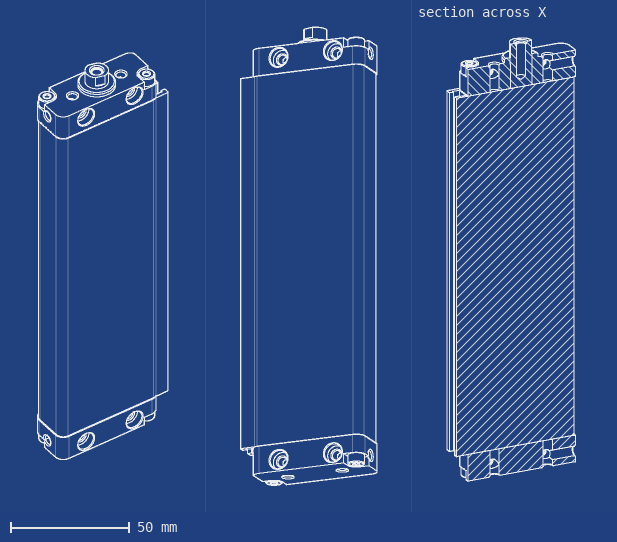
import cadquery as cq
import math

total_height = 195.0
cap_width = 20.0
cap_height = 12.0
rod_projection = 8.0
corner_radius = 4.0
cap_front = 25.5
cap_back = 25.0
barrel_inset = 0.49

cap_half_width = cap_width / 2
corner_x = cap_half_width - corner_radius
corner_y = cap_front - corner_radius
cap_top = total_height - rod_projection
barrel_bottom = cap_height
barrel_top = cap_top - cap_height
barrel_length = barrel_top - barrel_bottom

barrel_half_width = cap_half_width - barrel_inset
barrel_front = cap_front - barrel_inset
barrel_radius = corner_radius - barrel_inset
slot_floor = 25.4
rail_tip = 30.5
shoulder_start = 22.6
shoulder_end = 23.8
shoulder_inset = 0.1
rail_taper = 0.14
tip_bevel_width = 0.2
tip_bevel_height = 0.5
lip_height = 2.0
outer_lip_x = 6.6
outer_neck_x = 7.5
middle_lip_half = 1.5
middle_neck_half = 1.0

port_pitch = 25.0
port_y = port_pitch / 2
port_level = 5.0
through_diameter = 4.0
counterbore_diameter = 8.0
counterbore_depth = 3.7
counterbore_bevel = 0.4
seat_diameter = 5.0
port_diameter = 5.3

drill_tip_angle = 118.0

recess_diameter = 8.0
recess_depth = 4.0
screw_head_diameter = 7.0
screw_head_bevel = 0.4
socket_diameter = 2.5
socket_bevel = 0.4
socket_depth = 2.0
screw_corners = [(-1, -1), (1, 1)]

collar_diameter = 16.0
collar_height = 2.0
collar_chamfer = 0.5

rod_diameter = 10.0
rod_bore_diameter = 4.0
rod_bore_depth = 15.6
rod_mouth_diameter = 5.0
rod_mouth_depth = 1.2
rod_mouth_bevel = 0.5
flat_spacing = 9.0
flat_height = 4.5
flat_angle = -15.0


def make_barrel():
    """Extruded barrel profile with three rails that form two T-slots on the +Y side."""
    lip_y = rail_tip - lip_height
    shoulder_x = barrel_half_width - shoulder_inset
    rail_edge_x = shoulder_x - rail_taper
    outline = (
        cq.Workplane("XY", origin=(0, 0, barrel_bottom))
        .moveTo(0, -barrel_front)
        .lineTo(barrel_half_width, -barrel_front)
        .lineTo(barrel_half_width, shoulder_start)
        .lineTo(shoulder_x, shoulder_end)
        .lineTo(rail_edge_x, rail_tip - tip_bevel_height)
        .lineTo(rail_edge_x - tip_bevel_width, rail_tip)
        .lineTo(outer_lip_x, rail_tip)
        .lineTo(outer_lip_x, lip_y)
        .lineTo(outer_neck_x, lip_y)
        .lineTo(outer_neck_x, slot_floor)
        .lineTo(middle_neck_half, slot_floor)
        .lineTo(middle_neck_half, lip_y)
        .lineTo(middle_lip_half, lip_y)
        .lineTo(middle_lip_half, rail_tip)
        .lineTo(0, rail_tip)
        .mirrorY()
    )
    barrel = outline.extrude(barrel_length)
    return barrel.edges("|Z and <Y").fillet(barrel_radius)


def cylinder(diameter, height, x, y, z):
    """Upright cylinder whose lower face is centred at (x, y, z)."""
    return cq.Workplane("XY", origin=(x, y, z)).circle(diameter / 2).extrude(height)


def cap_block():
    """Block with four equal rounded corners, cut off flat on the +Y side."""
    block = cq.Workplane("XY").box(cap_width, 2 * cap_front, cap_height, centered=(True, True, False))
    block = block.edges("|Z").fillet(corner_radius)
    length = cap_front + cap_back
    kept = cq.Workplane("XY", origin=(0, cap_back - length / 2, 0)).rect(cap_width, length).extrude(cap_height)
    return block.intersect(kept)


def countersink(mouth_diameter, bottom_diameter):
    """45-degree cone with its mouth on Z = 0, pointing down."""
    depth = (mouth_diameter - bottom_diameter) / 2
    return cq.Solid.makeCone(mouth_diameter / 2, bottom_diameter / 2, depth, dir=cq.Vector(0, 0, -1))


def port_hole(depth):
    """Plain hole with a countersunk mouth on Z = 0, going down."""
    hole = cylinder(through_diameter, depth, 0, 0, -depth)
    return hole.union(countersink(port_diameter, through_diameter))


def cross_hole_half():
    """Counterbored mounting hole with its mouth on Z = 0, down to the middle of the cap."""
    hole = cylinder(through_diameter, cap_half_width, 0, 0, -cap_half_width)
    hole = hole.union(cylinder(counterbore_diameter, counterbore_depth, 0, 0, -counterbore_depth))
    hole = hole.union(countersink(counterbore_diameter + 2 * counterbore_bevel, counterbore_diameter))
    seat = countersink(seat_diameter, through_diameter)
    return hole.union(seat.translate(cq.Vector(0, 0, -counterbore_depth)))


def drill_ports(cap):
    """Cross holes along X, met by ports from the outer face and one port from the -Y side."""
    axis_z = cap_height - port_level
    for y in (-port_y, port_y):
        for x_side in (-1, 1):
            half = cross_hole_half().rotate((0, 0, 0), (0, 1, 0), x_side * 90)
            cap = cap.cut(half.translate((x_side * cap_half_width, y, axis_z)))
        cap = cap.cut(port_hole(cap_height).translate((0, y, cap_height)))
    front_port = port_hole(cap_front - port_y).rotate((0, 0, 0), (1, 0, 0), 90)
    return cap.cut(front_port.translate((0, -cap_front, axis_z)))


def corner_recess(x_side, y_side):
    """Round pocket at a cap corner, opened out through both adjoining sides."""
    radius = recess_diameter / 2
    x = x_side * corner_x
    y = y_side * corner_y
    floor = cap_height - recess_depth
    recess = cylinder(recess_diameter, recess_depth, x, y, floor)
    for dx, dy in ((1, 0), (0, 1), (1, 1)):
        opening = cq.Workplane("XY", origin=(x + x_side * dx * radius, y + y_side * dy * radius, floor))
        recess = recess.union(opening.rect(recess_diameter, recess_diameter).extrude(recess_depth))
    return recess


def blind_hole(diameter, depth):
    """Drilled hole from Z = 0 down to a conical bottom."""
    hole = cylinder(diameter, depth, 0, 0, -depth)
    tip_height = diameter / 2 / math.tan(math.radians(drill_tip_angle / 2))
    tip = cq.Solid.makeCone(diameter / 2, 0, tip_height, cq.Vector(0, 0, -depth), cq.Vector(0, 0, -1))
    return hole.union(tip)


def screw_head(x_side, y_side):
    """Bevelled round head that fills the recess up to the outer cap face."""
    x = x_side * corner_x
    y = y_side * corner_y
    head = cylinder(screw_head_diameter, recess_depth, x, y, cap_height - recess_depth)
    head = head.faces(">Z").edges().chamfer(screw_head_bevel)
    socket = blind_hole(socket_diameter, socket_depth)
    socket = socket.union(countersink(socket_diameter + 2 * socket_bevel, socket_diameter))
    return head.cut(socket.translate((x, y, cap_height)))


def make_cap():
    """End cap with its outer face up and its inner face on Z = 0."""
    cap = drill_ports(cap_block())
    for x_side, y_side in screw_corners:
        cap = cap.cut(corner_recess(x_side, y_side))
        cap = cap.union(screw_head(x_side, y_side))
    return cap


def make_top_cap():
    """Upper cap with the rod collar and the rod bore."""
    collar = cylinder(collar_diameter, collar_height, 0, 0, cap_height)
    collar = collar.faces(">Z").edges().chamfer(collar_chamfer)
    cap = make_cap().union(collar)
    cap = cap.cut(cylinder(rod_diameter, cap_height + collar_height, 0, 0, 0))
    return cap.translate((0, 0, barrel_top))


def make_bottom_cap():
    cap = make_cap()
    return cap.mirror("XY").translate((0, 0, barrel_bottom))


def make_rod():
    """Rod with a stepped, conical-bottomed end bore and two wrench flats."""
    rod = cylinder(rod_diameter, total_height - barrel_top, 0, 0, barrel_top)
    bore = blind_hole(rod_bore_diameter, rod_bore_depth)
    bore = bore.union(cylinder(rod_mouth_diameter, rod_mouth_depth, 0, 0, -rod_mouth_depth))
    bore = bore.union(countersink(rod_mouth_diameter + 2 * rod_mouth_bevel, rod_mouth_diameter))
    rod = rod.cut(bore.translate((0, 0, total_height)))
    flat_level = total_height - flat_height
    between_flats = cq.Workplane("XY", origin=(0, 0, flat_level)).rect(flat_spacing, rod_diameter)
    waste = cylinder(2 * rod_diameter, flat_height, 0, 0, flat_level).cut(between_flats.extrude(flat_height))
    return rod.cut(waste.rotate((0, 0, 0), (0, 0, 1), flat_angle))


barrel = make_barrel()
top_cap = make_top_cap()
bottom_cap = make_bottom_cap()
rod = make_rod()

result = cq.Compound.makeCompound([barrel.val(), top_cap.val(), bottom_cap.val(), rod.val()])